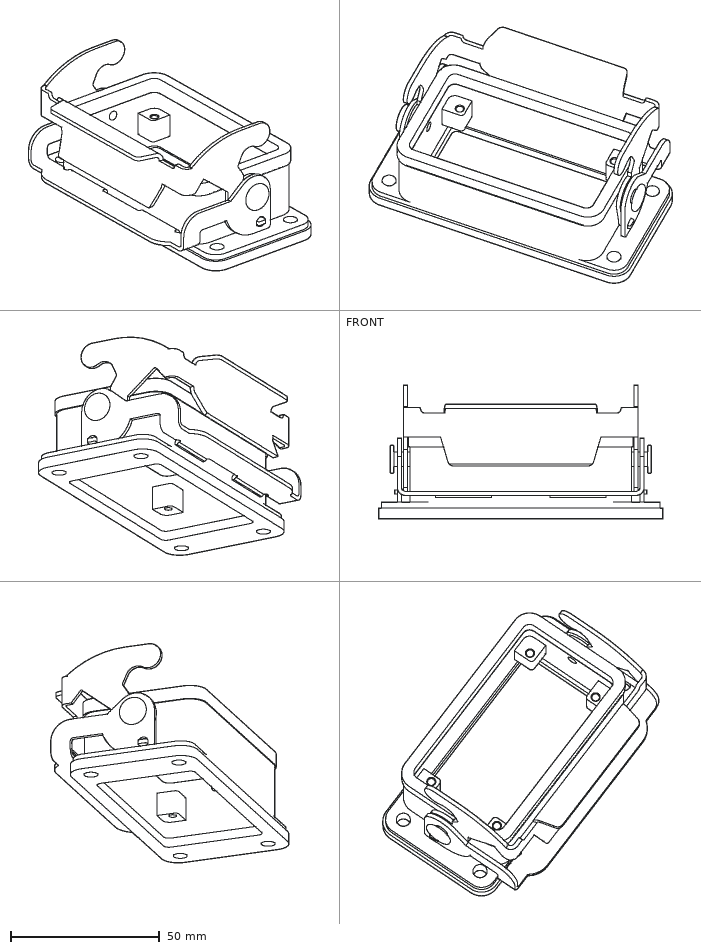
import cadquery as cq
import math

FLANGE_LENGTH = 95.5
FLANGE_WIDTH = 45.5
FLANGE_HEIGHT = 3.6
FLANGE_CORNER = 6.0
STEP_INSET = 1.0
STEP_TOP = 5.6
BODY_LENGTH = 74.5
BODY_CORNER = 6.1
RIM_LENGTH = 75.4
RIM_WIDTH = 44.1
RIM_BOTTOM = 24.2
RIM_CORNER = 5.9
HOUSING_TOP = 28.8
CAVITY_LENGTH = 67.4
CAVITY_WIDTH = 36.5
CAVITY_CORNER = 2.6
CAVITY_RELIEF = 0.1
RELIEF_TOP = 23.5
LEDGE_TOP = 3.2
OPENING_LENGTH = 64.9
OPENING_WIDTH = 35.3
OPENING_CORNER = 1.9
MOUNT_HOLE_X = 41.35
MOUNT_HOLE_Y = 15.9
MOUNT_HOLE_DIAMETER = 4.7
BOSS_INNER_X = 26.1
BOSS_INNER_Y = 10.9
BOSS_BOTTOM = 9.5
BOSS_TOP = 17.5
BOSS_CORNER = 1.2
SCREW_X = 28.5
SCREW_Y = 13.6
SCREW_DIAMETER = 2.5
SCREW_CHAMFER = 0.3

STEP_LENGTH = FLANGE_LENGTH - 2 * STEP_INSET
STEP_WIDTH = FLANGE_WIDTH - 2 * STEP_INSET
BODY_FRONT = -STEP_WIDTH / 2
RELIEF_LENGTH = CAVITY_LENGTH + 2 * CAVITY_RELIEF
RELIEF_WIDTH = CAVITY_WIDTH + 2 * CAVITY_RELIEF

SHEET = 1.4
BEND_INNER = 1.3
BEND_OUTER = BEND_INNER + SHEET

RIVET_Z = 20.1
RIVET_END = 43.9
RIVET_HEAD_RADIUS = 4.8
RIVET_HEAD_HEIGHT = 1.3
RIVET_HEAD_ROUND = 0.6
RIVET_SHANK_RADIUS = 2.5
RIVET_TAIL_RADIUS = 1.6

BRACKET_X = 41.4
EAR_RADIUS = 7.1
EAR_CORNER = 1.1
EAR_BELLY_START = -0.2
ARM_TOP = 20.9
ARM_TOP_START = -10.0
ARM_BOTTOM = 14.1
ARM_BOTTOM_START = -11.7
ARM_END_RADIUS = 7.2
LEG_BACK = -23.3
LEG_FRONT = -30.4
LEG_CORNER = 1.1
SHELF_BOTTOM = 7.8
SHELF_TOP = SHELF_BOTTOM + SHEET
BEND_TOP = SHELF_BOTTOM + BEND_OUTER
APRON_FRONT = -33.8
APRON_HALF = 34.1
APRON_FLAT_HALF = 27.5
APRON_CORNER = 0.6
NOTCH_BACK = -24.2
NOTCH_CORNER = 0.8
TAB_INNER_X = 9.8
TAB_OUTER_X = 28.65
TAB_BOTTOM = 7.2
RELIEF_OUTER_X = 30.8
STOP_HOLE_DIAMETER = 3.6
STOP_Y = 3.0
STOP_Z = 9.1

LEVER_X = 39.4
LEVER_FRONT = -28.0
LEVER_BACK = LEVER_FRONT + SHEET
ARM_FRONT = LEVER_FRONT + BEND_OUTER
LEVER_TOP = 45.0
CURVE_START = -4.3
CURVE_END_Z = 37.7
HOOK_RADIUS = 4.3
HOOK_Y = 4.2
HOOK_Z = LEVER_TOP - HOOK_RADIUS
MOUTH_RADIUS = 4.2
MOUTH_Y = 0.0
MOUTH_Z = 33.3
MOUTH_END_ANGLE = 148.0
NECK_POINT = (-5.35, 31.7)
NECK_FOOT_Y = -2.9
NECK_FOOT_Z = 27.9
NECK_ROUND = 0.8
LOBE_RADIUS = 6.5
CAM_RADIUS = 9.55
CAM_TOP = 23.4
GULLET_POINT = (-20.15, 31.8)
GULLET_ROUND = 0.4
PLATE_BOTTOM = 27.5
PLATE_FOOT_Y = -23.8
PLATE_TOP = 37.4
DIP_Z = 35.6
DIP_OUTER_X = 34.1
DIP_CREST_RADIUS = 0.5
STOP_WIDTH = 3.2
STOP_END = 42.4
STOP_ROUND = 0.6

UPPER_GRIP_FRONT = -36.0
UPPER_GRIP_TOP = 38.6
UPPER_GRIP_ROOT_HALF = 25.8
UPPER_GRIP_TIP_HALF = 23.4
LOWER_GRIP_BOTTOM = 17.8
LOWER_GRIP_KNEE = 25.8
LOWER_GRIP_ANGLE = math.radians(25)
LOWER_GRIP_ROOT_HALF = 26.9
LOWER_GRIP_TIP_HALF = 24.1
GRIP_CORNER = 2.1

SIDES = (-1, 1)


def rounded_block(length, width, corner, bottom, top):
    """Upright block centred on the Z axis with rounded vertical edges."""
    block = cq.Workplane("XY", origin=(0, 0, bottom)).rect(length, width).extrude(top - bottom)
    return block.edges("|Z").fillet(corner)


def x_cylinder(radius, y, z, start, end):
    """Cylinder along X between two X positions."""
    return cq.Workplane("YZ", origin=(start, y, z)).circle(radius).extrude(end - start)


def box_between(x0, x1, y0, y1, z0, z1):
    """Box from its limits on each axis."""
    return cq.Workplane("XY").box(x1 - x0, y1 - y0, z1 - z0, centered=False).translate((x0, y0, z0))


def both_sides(right_half):
    """The given +X feature joined with its mirror image."""
    return right_half.union(right_half.mirror("YZ"))


def tangent_arc_middle(run, rise):
    """Offsets (run, rise) of the midpoint of an arc that starts along the run and ends at (run, rise)."""
    radius = (run**2 + rise**2) / (2 * rise)
    half_sweep = math.atan2(rise, run)
    return radius * math.sin(half_sweep), radius * (1 - math.cos(half_sweep))


def make_boss(side_x, side_y):
    """Screw boss in one corner of the cavity, with a through hole."""
    x = sorted((side_x * BOSS_INNER_X, side_x * BODY_LENGTH / 2))
    y = sorted((side_y * BOSS_INNER_Y, side_y * STEP_WIDTH / 2))
    inner_edge = (">" if side_x < 0 else "<") + "X and " + (">" if side_y < 0 else "<") + "Y"
    boss = box_between(*x, *y, BOSS_BOTTOM, BOSS_TOP)
    boss = boss.edges("|Z").edges(inner_edge).fillet(BOSS_CORNER)
    envelope = rounded_block(RELIEF_LENGTH, RELIEF_WIDTH, CAVITY_CORNER, BOSS_BOTTOM, BOSS_TOP)
    screw_hole = (
        cq.Workplane("XY", origin=(side_x * SCREW_X, side_y * SCREW_Y, BOSS_TOP))
        .circle(SCREW_DIAMETER / 2 + SCREW_CHAMFER)
        .workplane(offset=-SCREW_CHAMFER)
        .circle(SCREW_DIAMETER / 2)
        .loft()
        .faces("<Z")
        .workplane()
        .circle(SCREW_DIAMETER / 2)
        .extrude(BOSS_TOP - BOSS_BOTTOM)
    )
    return boss.intersect(envelope).cut(screw_hole)


def make_housing():
    """Flanged frame with a rim, an open cavity, four bosses and the rivet holes."""
    step_corner = FLANGE_CORNER - STEP_INSET
    housing = (
        rounded_block(FLANGE_LENGTH, FLANGE_WIDTH, FLANGE_CORNER, 0, FLANGE_HEIGHT)
        .union(rounded_block(STEP_LENGTH, STEP_WIDTH, step_corner, FLANGE_HEIGHT, STEP_TOP))
        .union(rounded_block(BODY_LENGTH, STEP_WIDTH, BODY_CORNER, STEP_TOP, RIM_BOTTOM))
        .union(rounded_block(RIM_LENGTH, RIM_WIDTH, RIM_CORNER, RIM_BOTTOM, HOUSING_TOP))
        .cut(rounded_block(CAVITY_LENGTH, CAVITY_WIDTH, CAVITY_CORNER, RELIEF_TOP, HOUSING_TOP))
        .cut(rounded_block(RELIEF_LENGTH, RELIEF_WIDTH, CAVITY_CORNER, LEDGE_TOP, RELIEF_TOP))
        .cut(rounded_block(OPENING_LENGTH, OPENING_WIDTH, OPENING_CORNER, 0, LEDGE_TOP))
    )
    mount_holes = (
        cq.Workplane("XY")
        .rect(2 * MOUNT_HOLE_X, 2 * MOUNT_HOLE_Y, forConstruction=True)
        .vertices()
        .circle(MOUNT_HOLE_DIAMETER / 2)
        .extrude(STEP_TOP)
    )
    housing = housing.cut(mount_holes)
    for side_x in SIDES:
        for side_y in SIDES:
            housing = housing.union(make_boss(side_x, side_y))
    rivet_holes = x_cylinder(RIVET_TAIL_RADIUS, 0, RIVET_Z, -BODY_LENGTH / 2, BODY_LENGTH / 2)
    return housing.cut(rivet_holes)


def make_bracket_side():
    """+X side plate: a round ear on the rivet and an arm reaching forward to the leg."""
    reach = math.hypot(ARM_TOP_START, ARM_TOP - RIVET_Z)
    bearing = math.atan2(ARM_TOP - RIVET_Z, ARM_TOP_START)
    tangent_angle = bearing - math.acos(EAR_RADIUS / reach)
    tangent_y = EAR_RADIUS * math.cos(tangent_angle)
    tangent_z = RIVET_Z + EAR_RADIUS * math.sin(tangent_angle)
    plate = (
        cq.Workplane("YZ", origin=(BRACKET_X - SHEET, 0, 0))
        .moveTo(EAR_RADIUS, STEP_TOP + EAR_CORNER)
        .lineTo(EAR_RADIUS, RIVET_Z)
        .threePointArc((0, RIVET_Z + EAR_RADIUS), (tangent_y, tangent_z))
        .lineTo(ARM_TOP_START, ARM_TOP)
        .lineTo(LEG_FRONT + ARM_END_RADIUS, ARM_TOP)
        .tangentArcPoint((LEG_FRONT, ARM_TOP - ARM_END_RADIUS), relative=False)
        .lineTo(LEG_FRONT, BEND_TOP)
        .lineTo(LEG_BACK, BEND_TOP)
        .lineTo(LEG_BACK, ARM_BOTTOM - LEG_CORNER)
        .tangentArcPoint((LEG_BACK + LEG_CORNER, ARM_BOTTOM), relative=False)
        .lineTo(ARM_BOTTOM_START, ARM_BOTTOM)
    )
    run, rise = tangent_arc_middle(EAR_BELLY_START - ARM_BOTTOM_START, ARM_BOTTOM - STEP_TOP)
    belly_middle = (EAR_BELLY_START - run, STEP_TOP + rise)
    plate = (
        plate.threePointArc(belly_middle, (EAR_BELLY_START, STEP_TOP))
        .lineTo(EAR_RADIUS - EAR_CORNER, STEP_TOP)
        .tangentArcPoint((EAR_RADIUS, STEP_TOP + EAR_CORNER), relative=False)
        .close()
        .extrude(SHEET)
    )
    stop_hole = x_cylinder(STOP_HOLE_DIAMETER / 2, STOP_Y, STOP_Z, BRACKET_X - SHEET, BRACKET_X)
    return plate.cut(stop_hole)


def make_bracket_shelf():
    """Shelf under the lever: bent up into both legs, with a rounded apron in front."""
    inner_x = BRACKET_X - SHEET
    leg_top = BEND_TOP + SHEET
    channel = box_between(-BRACKET_X, BRACKET_X, LEG_FRONT, LEG_BACK, SHELF_BOTTOM, leg_top)
    channel = channel.edges("|Y and <Z").fillet(BEND_OUTER)
    hollow = box_between(-inner_x, inner_x, LEG_FRONT, LEG_BACK, SHELF_TOP, leg_top)
    channel = channel.cut(hollow.edges("|Y and <Z").fillet(BEND_INNER))

    apron = (
        cq.Workplane("XY", origin=(0, 0, SHELF_BOTTOM))
        .moveTo(-APRON_HALF, LEG_FRONT)
        .lineTo(APRON_HALF, LEG_FRONT)
        .lineTo(APRON_FLAT_HALF, APRON_FRONT)
        .lineTo(-APRON_FLAT_HALF, APRON_FRONT)
        .close()
        .extrude(SHEET)
    )
    shelf = channel.union(apron).union(make_apron_ends())
    for side in SIDES:
        corner = (side * APRON_HALF, LEG_FRONT, SHELF_BOTTOM + SHEET / 2)
        shelf = shelf.edges(cq.selectors.NearestToPointSelector(corner)).fillet(APRON_CORNER)
    return shelf


def make_apron_ends():
    """Arc segments rounding the apron's slanted ends, tangent to its front edge."""
    run, rise = tangent_arc_middle(APRON_HALF - APRON_FLAT_HALF, LEG_FRONT - APRON_FRONT)
    middle = (APRON_FLAT_HALF + run, APRON_FRONT + rise)
    segment = (
        cq.Workplane("XY", origin=(0, 0, SHELF_BOTTOM))
        .moveTo(APRON_FLAT_HALF, APRON_FRONT)
        .threePointArc(middle, (APRON_HALF, LEG_FRONT))
        .close()
        .extrude(SHEET)
    )
    return both_sides(segment)


def make_bracket():
    """U-shaped bracket clasping the housing front with two bent-down tabs."""
    bracket = make_bracket_shelf().union(both_sides(make_bracket_side()))

    def notch(x0, x1):
        block = box_between(x0, x1, NOTCH_BACK, LEG_BACK, SHELF_BOTTOM, SHELF_TOP)
        return block.edges("|Z and <Y").fillet(NOTCH_CORNER)

    bracket = bracket.cut(notch(-TAB_INNER_X, TAB_INNER_X))
    bracket = bracket.cut(both_sides(notch(TAB_OUTER_X, RELIEF_OUTER_X)))

    bend_radius = BODY_FRONT - LEG_BACK
    run, rise = tangent_arc_middle(bend_radius, bend_radius)
    bend_middle = (LEG_BACK + run, SHELF_TOP - rise)
    tab = (
        cq.Workplane("YZ", origin=(TAB_INNER_X, 0, 0))
        .moveTo(LEG_BACK, SHELF_TOP)
        .threePointArc(bend_middle, (BODY_FRONT, SHELF_TOP - bend_radius))
        .lineTo(BODY_FRONT, TAB_BOTTOM)
        .lineTo(BODY_FRONT - SHEET / 2, TAB_BOTTOM)
        .lineTo(LEG_BACK, SHELF_BOTTOM)
        .close()
        .extrude(TAB_OUTER_X - TAB_INNER_X)
    )
    return bracket.union(both_sides(tab))


def make_lever_arm():
    """+X arm: hook and mouth at the top, cam lobe around the rivet at the bottom."""
    hook_share = HOOK_RADIUS / math.dist((HOOK_Y, HOOK_Z), (MOUTH_Y, MOUTH_Z))
    hook_end = (
        HOOK_Y + hook_share * (MOUTH_Y - HOOK_Y),
        HOOK_Z + hook_share * (MOUTH_Z - HOOK_Z),
    )
    mouth_end_angle = math.radians(MOUTH_END_ANGLE)
    mouth_end = (
        MOUTH_Y + MOUTH_RADIUS * math.cos(mouth_end_angle),
        MOUTH_Z + MOUTH_RADIUS * math.sin(mouth_end_angle),
    )
    lobe_start_z = RIVET_Z + math.sqrt(LOBE_RADIUS**2 - NECK_FOOT_Y**2)
    lobe_middle = LOBE_RADIUS * math.sqrt(0.5)
    cam_middle = CAM_RADIUS * math.sqrt(0.5)
    cam_bottom = RIVET_Z - CAM_RADIUS
    stop_back = STOP_Y + STOP_WIDTH / 2
    run, drop = tangent_arc_middle(CURVE_START - ARM_FRONT, LEVER_TOP - CURVE_END_Z)
    curve_middle = (CURVE_START - run, LEVER_TOP - drop)
    arm = (
        cq.Workplane("YZ", origin=(LEVER_X - SHEET, 0, 0))
        .moveTo(ARM_FRONT, PLATE_BOTTOM)
        .lineTo(ARM_FRONT, CURVE_END_Z)
        .threePointArc(curve_middle, (CURVE_START, LEVER_TOP))
        .lineTo(HOOK_Y, LEVER_TOP)
        .threePointArc((HOOK_Y + HOOK_RADIUS, HOOK_Z), hook_end)
        .threePointArc((MOUTH_Y, MOUTH_Z + MOUTH_RADIUS), mouth_end)
        .lineTo(*NECK_POINT)
        .lineTo(NECK_FOOT_Y, NECK_FOOT_Z)
        .lineTo(NECK_FOOT_Y, lobe_start_z)
        .threePointArc((lobe_middle, RIVET_Z + lobe_middle), (LOBE_RADIUS, RIVET_Z))
        .lineTo(stop_back, cam_bottom)
        .lineTo(0, cam_bottom)
        .threePointArc((-cam_middle, RIVET_Z - cam_middle), (-CAM_RADIUS, RIVET_Z))
        .lineTo(-CAM_RADIUS, CAM_TOP)
        .lineTo(*GULLET_POINT)
        .lineTo(PLATE_FOOT_Y, PLATE_BOTTOM)
        .close()
        .extrude(SHEET)
    )

    def round_edge_at(solid, point, radius):
        selector = cq.selectors.NearestToPointSelector((LEVER_X - SHEET / 2, *point))
        return solid.edges(selector).fillet(radius)

    arm = round_edge_at(arm, NECK_POINT, NECK_ROUND)
    arm = round_edge_at(arm, GULLET_POINT, GULLET_ROUND)
    return arm.union(make_stop_finger(cam_bottom))


def make_stop_finger(root_z):
    """Finger bent outward from the bottom of the +X arm into the bracket's stop hole."""
    finger_y = (STOP_Y - STOP_WIDTH / 2, STOP_Y + STOP_WIDTH / 2)
    inner_x = LEVER_X - SHEET
    bottom = STOP_Z - SHEET / 2
    stem = box_between(inner_x, LEVER_X, *finger_y, bottom, root_z)
    stem = stem.edges("|Y and <X and <Z").fillet(SHEET * 2 / 3)
    finger = box_between(LEVER_X - SHEET / 3, STOP_END, *finger_y, bottom, bottom + SHEET)
    finger = finger.edges("|Z and >X").fillet(STOP_ROUND)
    return stem.union(finger)


def make_lever_plate():
    """Front plate joining both arms through bent corners, its top edge dipped beside the grip."""
    inner_x = LEVER_X - SHEET
    wing_back = ARM_FRONT + SHEET
    plate = box_between(-LEVER_X, LEVER_X, LEVER_FRONT, wing_back, PLATE_BOTTOM, PLATE_TOP)
    plate = plate.edges("|Z and <Y").fillet(BEND_OUTER)
    hollow = box_between(-inner_x, inner_x, LEVER_BACK, wing_back, PLATE_BOTTOM, PLATE_TOP)
    plate = plate.cut(hollow.edges("|Z and <Y").fillet(BEND_INNER))
    dip_wall_x = DIP_OUTER_X - DIP_CREST_RADIUS
    dip_crest_z = PLATE_TOP - DIP_CREST_RADIUS
    dip_floor_x = dip_wall_x - (dip_crest_z - DIP_Z)
    dip = (
        cq.Workplane("XZ", origin=(0, LEVER_BACK, 0))
        .moveTo(0, DIP_Z)
        .lineTo(dip_floor_x, DIP_Z)
        .tangentArcPoint((dip_wall_x, dip_crest_z), relative=False)
        .tangentArcPoint((DIP_OUTER_X, PLATE_TOP), relative=False)
        .lineTo(0, PLATE_TOP)
        .close()
        .extrude(SHEET)
    )
    return plate.cut(both_sides(dip))


def make_upper_grip():
    """Tongue bent forward from the top of the front plate."""
    half = UPPER_GRIP_ROOT_HALF
    strip = box_between(-half, half, UPPER_GRIP_FRONT, LEVER_BACK, DIP_Z, UPPER_GRIP_TOP)
    strip = strip.edges("|X and >Y and >Z").fillet(BEND_OUTER)
    grip_bottom = UPPER_GRIP_TOP - SHEET
    under = box_between(-half, half, UPPER_GRIP_FRONT - SHEET, LEVER_FRONT, DIP_Z - SHEET, grip_bottom)
    strip = strip.cut(under.edges("|X and >Y and >Z").fillet(BEND_INNER))
    outline = (
        cq.Workplane("XY", origin=(0, 0, DIP_Z))
        .moveTo(-UPPER_GRIP_ROOT_HALF, LEVER_BACK)
        .lineTo(UPPER_GRIP_ROOT_HALF, LEVER_BACK)
        .lineTo(UPPER_GRIP_TIP_HALF, UPPER_GRIP_FRONT)
        .lineTo(-UPPER_GRIP_TIP_HALF, UPPER_GRIP_FRONT)
        .close()
        .extrude(UPPER_GRIP_TOP - DIP_Z)
    )
    return strip.intersect(outline.edges("|Z and <Y").fillet(GRIP_CORNER))


def make_lower_grip():
    """Tongue hanging from the front plate and kicked forward at the knee."""
    sine = math.sin(LOWER_GRIP_ANGLE)
    cosine = math.cos(LOWER_GRIP_ANGLE)
    tip_front_z = LOWER_GRIP_BOTTOM + SHEET * sine
    tip_front_y = LEVER_FRONT - (LOWER_GRIP_KNEE - tip_front_z) * math.tan(LOWER_GRIP_ANGLE)
    knee_back_z = LOWER_GRIP_KNEE - SHEET * math.tan(LOWER_GRIP_ANGLE / 2)
    half = LOWER_GRIP_ROOT_HALF
    strip = (
        cq.Workplane("YZ", origin=(-half, 0, 0))
        .moveTo(LEVER_FRONT, PLATE_BOTTOM)
        .lineTo(LEVER_FRONT, LOWER_GRIP_KNEE)
        .lineTo(tip_front_y, tip_front_z)
        .lineTo(tip_front_y + SHEET * cosine, LOWER_GRIP_BOTTOM)
        .lineTo(LEVER_BACK, knee_back_z)
        .lineTo(LEVER_BACK, PLATE_BOTTOM)
        .close()
        .extrude(2 * half)
    )
    front_knee = cq.selectors.NearestToPointSelector((0, LEVER_FRONT, LOWER_GRIP_KNEE))
    back_knee = cq.selectors.NearestToPointSelector((0, LEVER_BACK, knee_back_z))
    strip = strip.edges(front_knee).fillet(BEND_INNER)
    strip = strip.edges(back_knee).fillet(BEND_OUTER)
    outline = (
        cq.Workplane("XZ", origin=(0, LEVER_BACK, 0))
        .moveTo(-LOWER_GRIP_ROOT_HALF, PLATE_BOTTOM)
        .lineTo(LOWER_GRIP_ROOT_HALF, PLATE_BOTTOM)
        .lineTo(LOWER_GRIP_TIP_HALF, LOWER_GRIP_BOTTOM)
        .lineTo(-LOWER_GRIP_TIP_HALF, LOWER_GRIP_BOTTOM)
        .close()
        .extrude(LEVER_BACK - tip_front_y)
    )
    return strip.intersect(outline.edges("|Y and <Z").fillet(GRIP_CORNER))


def make_rivet():
    """+X rivet: rounded head, shank through bracket and arm, tail in the housing wall."""
    head_start = RIVET_END - RIVET_HEAD_HEIGHT
    wall = BODY_LENGTH / 2
    head = x_cylinder(RIVET_HEAD_RADIUS, 0, RIVET_Z, head_start, RIVET_END)
    head = head.edges().fillet(RIVET_HEAD_ROUND)
    shank = x_cylinder(RIVET_SHANK_RADIUS, 0, RIVET_Z, wall, head_start)
    tail = x_cylinder(RIVET_TAIL_RADIUS, 0, RIVET_Z, RELIEF_LENGTH / 2, wall)
    return head.union(shank).union(tail)


def make_latch():
    """Bracket, lever and rivets joined as one latch assembly."""
    lever = make_lever_plate().union(both_sides(make_lever_arm()))
    lever = lever.union(make_upper_grip()).union(make_lower_grip())
    return make_bracket().union(lever).union(both_sides(make_rivet()))


housing = make_housing()
latch = make_latch()
result = cq.Compound.makeCompound([*housing.solids().vals(), *latch.solids().vals()])